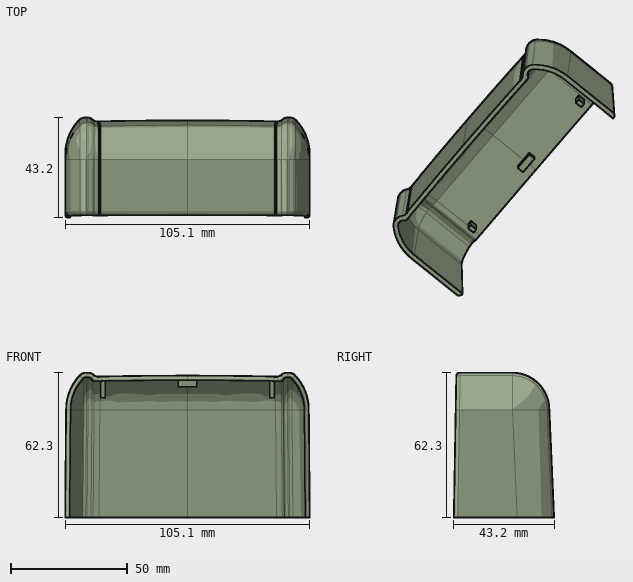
import cadquery as cq
import math

width = 105.11
depth = 43.15
height = 62.3
wall = 2.0

corner_radius = 16.0
side_draft = 0.5
back_draft = 2.5
front_draft = 1.0
side_arc_radius = 21.4
crest_inset = 8.75
crest_flat = 0.6
land_drop = 1.65
skin_land = (13.55, 15.15)
cavity_land = (11.95, 14.45)
groove_width = 0.7
groove_depth = 0.25
crown_rise = 0.4
crown_mid_share = 0.75
rim_round = 1.6

stop_setback = 4.0
stop_depth = 3.0
block_width = 7.8
block_bottom = 56.3
rib_width = 1.9
rib_bottom = 51.5
rib_center = 36.2
stop_overlap = 0.8

front_overrun = 5.0

axis_height = height - corner_radius
bottom_half_width = width / 2
axis_half_width = bottom_half_width - axis_height * math.tan(math.radians(side_draft))
back_lean = axis_height * math.tan(math.radians(back_draft))
front_bottom = corner_radius + back_lean - depth
front_top = front_bottom + height * math.tan(math.radians(front_draft))
front_limit = front_bottom - front_overrun


def half_profile(plane, half_width, inset, land, base):
    """Closed half of the edge profile, from the middle plane to the side wall at +X.

    The curve lies `inset` inside the outer skin, with the ends of its land at the distances
    `land` from the side wall. Heights are measured from the corner axis; the straight bottom
    of the outline is at height `base`, on or below that axis.
    """
    land_height = corner_radius - land_drop - inset
    crest_outer = half_width - crest_inset
    crest_inner = crest_outer - crest_flat
    land_outer = half_width - land[0]
    land_inner = half_width - land[1]

    side_center_x = half_width - side_arc_radius
    run = crest_outer - side_center_x
    crest_radius = (side_arc_radius**2 - run**2 - corner_radius**2) / (2 * (side_arc_radius - corner_radius))
    crest_center = corner_radius - crest_radius

    side_r = side_arc_radius - inset
    crest_r = crest_radius - inset

    span = crest_inner - land_outer
    center_rise = land_height - crest_center
    valley_r = (span**2 + center_rise**2 - crest_r**2) / (2 * (crest_r - center_rise))
    valley_center = land_height + valley_r

    join_angle = math.atan2(crest_center, run)
    crest_end = math.atan2(valley_center - crest_center, -span)
    valley_start = crest_end - math.pi
    straight_up = math.pi / 2

    def on_side(angle):
        return (side_center_x + side_r * math.cos(angle), side_r * math.sin(angle))

    def on_crest(center_x, angle):
        return (center_x + crest_r * math.cos(angle), crest_center + crest_r * math.sin(angle))

    def on_valley(angle):
        return (land_outer + valley_r * math.cos(angle), valley_center + valley_r * math.sin(angle))

    outline = plane.moveTo(0, base).lineTo(half_width - inset, base)
    if base < 0:
        outline = outline.lineTo(half_width - inset, 0)
    return (
        outline
        .threePointArc(on_side(join_angle / 2), on_side(join_angle))
        .threePointArc(
            on_crest(crest_outer, (join_angle + straight_up) / 2),
            on_crest(crest_outer, straight_up),
        )
        .lineTo(*on_crest(crest_inner, straight_up))
        .threePointArc(
            on_crest(crest_inner, (straight_up + crest_end) / 2),
            on_crest(crest_inner, crest_end),
        )
        .threePointArc(on_valley((valley_start - straight_up) / 2), on_valley(-straight_up))
        .lineTo(land_inner, land_height)
        .threePointArc(
            (land_inner / 2, land_height + crown_mid_share * crown_rise),
            (0, land_height + crown_rise),
        )
        .close()
    )


def groove_profile(plane, half_width):
    """Wedge that cuts the V groove, widening on past the surface of the land."""
    groove_x = half_width - (skin_land[0] + skin_land[1]) / 2
    apex = corner_radius - land_drop - groove_depth
    top = apex + 2 * groove_depth
    return (
        plane.moveTo(groove_x, apex)
        .lineTo(groove_x + groove_width, top)
        .lineTo(groove_x - groove_width, top)
        .close()
    )


def sweep_along_cover(outline):
    """Carry an outline along the roof, round the rear corner and down the walls, on both halves.

    `outline(plane, half_width, base)` draws it, with heights measured from the origin of the plane.
    """
    axis_plane = cq.Workplane("XZ", origin=(0, 0, axis_height))
    roof = outline(axis_plane, axis_half_width, 0).extrude(-front_limit)
    corner = outline(axis_plane, axis_half_width, 0).revolve(90, (0, 0), (-1, 0))

    bottom_plane = cq.Workplane("XY", origin=(0, back_lean, 0))
    bottom_wire = outline(bottom_plane, bottom_half_width, front_limit - back_lean).wire().val()
    axis_level = cq.Workplane("XY", origin=(0, 0, axis_height))
    axis_wire = outline(axis_level, axis_half_width, front_limit).wire().val()
    walls = cq.Workplane(cq.Solid.makeLoft([bottom_wire, axis_wire], True))

    half = walls.union(roof).union(corner)
    return half.union(half.mirror("YZ"))


def envelope(inset, land):
    """Solid bounded by the surface lying `inset` inside the outer skin, running past the front rim."""
    return sweep_along_cover(
        lambda plane, half_width, base: half_profile(plane, half_width, inset, land, base)
    )


def grooves():
    """Cutting wedges for the groove beside each crest."""
    return sweep_along_cover(lambda plane, half_width, base: groove_profile(plane, half_width))


def front_trim():
    """Everything ahead of the drafted front rim."""
    return (
        cq.Workplane("YZ")
        .moveTo(front_bottom, 0)
        .lineTo(front_top, height)
        .lineTo(front_limit, height)
        .lineTo(front_limit, 0)
        .close()
        .extrude(width, both=True)
    )


def roof_stop(center_x, stop_width, bottom):
    """Small block under the roof, set back from the front rim."""
    top = height - land_drop - wall + stop_overlap
    return (
        cq.Workplane("XY", origin=(center_x, front_top + stop_setback, bottom))
        .box(stop_width, stop_depth, top - bottom, centered=(True, False, False))
    )


def cover_shell():
    """Hollow cover, open below and in front, with its outer front edge rounded."""
    body = envelope(0, skin_land).cut(front_trim())
    body = body.faces("<Y").edges("not(<Z)").fillet(rim_round)
    return body.cut(envelope(wall, cavity_land)).cut(grooves())


result = cover_shell().union(roof_stop(0, block_width, block_bottom))
for rib_x in (-rib_center, rib_center):
    result = result.union(roof_stop(rib_x, rib_width, rib_bottom))